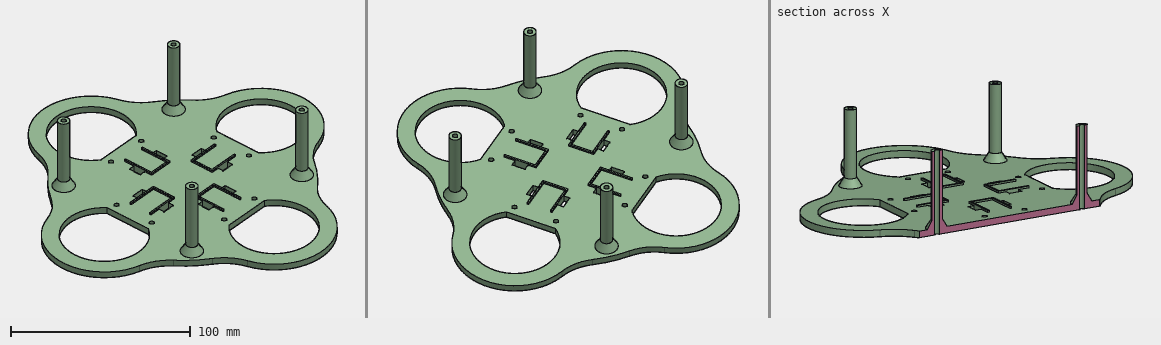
import cadquery as cq
import math

plate_thickness = 4.0
overall_half_width = 102.0
lobe_radius = 35.0
lobe_offset = overall_half_width - lobe_radius
body_radius = 75.0
blend_radius = 30.0

opening_radius = 25.0
opening_flat_offset = 46.9

post_offset = opening_flat_offset
post_diameter = 7.0
post_bore = 2.9
post_top = 49.0
flare_diameter = 13.0
flare_height = 4.9

guide_width = 15.5
guide_wall = 1.0
guide_height = 1.0
guide_inner_end = 16.1
guide_outer_end = 36.0

slot_width = 3.7
slot_start = 21.2
slot_end = 29.2

screw_hole_diameter = 2.9
screw_hole_side_offset = 12.8
screw_hole_offset = 41.4

quarter_turns = [0, 90, 180, 270]


def rotated(point, degrees):
    """Turn a 2D point about the origin."""
    angle = math.radians(degrees)
    x, y = point
    return (
        x * math.cos(angle) - y * math.sin(angle),
        x * math.sin(angle) + y * math.cos(angle),
    )


def towards(start, end, distance):
    """Point at a distance from start on the line to end."""
    ratio = distance / math.dist(start, end)
    return (
        start[0] + ratio * (end[0] - start[0]),
        start[1] + ratio * (end[1] - start[1]),
    )


def box_between(x_range, y_range, z_range):
    """Axis-aligned box given its limits along each axis."""
    size = [high - low for low, high in (x_range, y_range, z_range)]
    corner = (x_range[0], y_range[0], z_range[0])
    return cq.Workplane("XY").box(*size, centered=False).translate(corner)


def around_centre(shape):
    """Four copies of a shape, a quarter turn apart."""
    copies = cq.Workplane("XY")
    for turn in quarter_turns:
        copies = copies.add(shape.rotate((0, 0, 0), (0, 0, 1), turn))
    return copies.combine()


def make_plate():
    """Four lobes joined to a round body by tangent concave blends."""
    origin = (0, 0)
    lobe_centre = (lobe_offset, 0)

    to_body = body_radius + blend_radius
    to_lobe = lobe_radius + blend_radius
    blend_x = (to_body**2 - to_lobe**2 + lobe_offset**2) / (2 * lobe_offset)
    blend_centre = (blend_x, math.sqrt(to_body**2 - blend_x**2))

    lobe_end = towards(lobe_centre, blend_centre, lobe_radius)
    body_start = towards(origin, blend_centre, body_radius)
    chord_middle = ((lobe_end[0] + body_start[0]) / 2, (lobe_end[1] + body_start[1]) / 2)
    blend_middle = towards(blend_centre, chord_middle, blend_radius)
    lobe_tip = (overall_half_width, 0)
    body_middle = rotated((body_radius, 0), 45)
    lobe_start = (lobe_end[0], -lobe_end[1])
    body_end = (body_start[1], body_start[0])
    next_blend_middle = (blend_middle[1], blend_middle[0])

    outline = cq.Workplane("XY").moveTo(*lobe_start)
    for turn in quarter_turns:
        outline = (
            outline.threePointArc(rotated(lobe_tip, turn), rotated(lobe_end, turn))
            .threePointArc(rotated(blend_middle, turn), rotated(body_start, turn))
            .threePointArc(rotated(body_middle, turn), rotated(body_end, turn))
            .threePointArc(rotated(next_blend_middle, turn), rotated(lobe_start, turn + 90))
        )
    return outline.close().extrude(plate_thickness)


def make_opening():
    """Lobe opening on the +X side."""
    circle = cq.Workplane("XY").center(lobe_offset, 0).circle(opening_radius).extrude(plate_thickness)
    kept_side = box_between(
        (opening_flat_offset, overall_half_width),
        (-opening_radius, opening_radius),
        (0, plate_thickness),
    )
    return circle.intersect(kept_side)


def make_guide():
    """U-shaped ridge on the +X side."""
    half_width = guide_width / 2
    half_inside = half_width - guide_wall
    height_range = (plate_thickness, plate_thickness + guide_height)
    block = box_between((guide_inner_end, guide_outer_end), (-half_width, half_width), height_range)
    inside_start = guide_inner_end + guide_wall
    inside = box_between((inside_start, guide_outer_end), (-half_inside, half_inside), height_range)
    return block.cut(inside)


def make_slots():
    """Pair of slots on the +X side, touching the guide walls."""
    inner = guide_width / 2
    outer = inner + slot_width
    slot = box_between((slot_start, slot_end), (inner, outer), (0, plate_thickness))
    return slot.union(slot.mirror("XZ"))


def make_screw_holes():
    """Pair of screw holes on the +X side."""
    centres = [(screw_hole_offset, side * screw_hole_side_offset) for side in (-1, 1)]
    return cq.Workplane("XY").pushPoints(centres).circle(screw_hole_diameter / 2).extrude(plate_thickness)


def make_post():
    """Post with a conical flare at its foot, in the +X +Y corner."""
    post_radius = post_diameter / 2
    flare_top = plate_thickness + flare_height
    profile = [
        (0, 0),
        (post_radius, 0),
        (post_radius, plate_thickness),
        (flare_diameter / 2, plate_thickness),
        (post_radius, flare_top),
        (post_radius, post_top),
        (0, post_top),
    ]
    post = cq.Workplane("XZ").polyline(profile).close().revolve(360, (0, 0), (0, 1))
    return post.translate((post_offset, post_offset, 0))


def make_post_bore():
    """Bore through the post and the plate under it."""
    return cq.Workplane("XY").center(post_offset, post_offset).circle(post_bore / 2).extrude(post_top)


result = make_plate()
for added in (make_guide(), make_post()):
    result = result.union(around_centre(added))
for removed in (make_opening(), make_slots(), make_screw_holes(), make_post_bore()):
    result = result.cut(around_centre(removed))